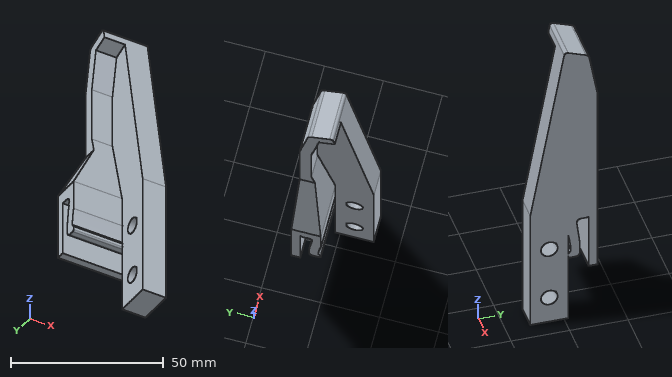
import cadquery as cq
import math

width = 27.5
depth = 23.0
height = 109.6

plate_thickness = 9.0
plate_depth = 13.0
bend_height = 45.0
hole_diameter = 5.7
hole_count = 2
hole_spacing = 20.0
lower_hole_height = 10.0

wall = 4.0
wall_width = 16.9
lean = math.radians(10.3)
top_slope = math.radians(20)
back_bend_height = 90.8
inner_back_top = 89.8
inner_back_bottom = 69.8
front_corner_radius = 1.0
back_corner_radius = 2.0
taper_top = 64.6

tab_thickness = 3.1
tab_bottom = 20.1
slot_top = 40.2
hook_bottom = 24.9
hook_root_back = 15.9
hook_tip_back = 17.0
hook_bulge_height = 30.2
hook_round = 1.5
relief_top = 34.0
relief_bottom = 26.6
relief_low_point = 27.9
relief_depth = 0.9
relief_radius = 32.9
lip_round = 0.5

plate_left = width - plate_thickness
wall_left = width - wall_width
inner_back = depth - wall
cut_margin = 1.1


def extrude_profile(profile, left):
    """Extrude a closed YZ profile from the given X to the right side."""
    return profile.extrude(width - left).translate((left, 0, 0))


def front_slope_at(z):
    return (z - bend_height) * math.tan(lean)


def meet_front_slope(y, z):
    """Point where a line through (y, z), parallel to the top, meets the front slope."""
    fall = math.tan(top_slope)
    corner_z = (z + fall * (y + bend_height * math.tan(lean))) / (1 + fall * math.tan(lean))
    return front_slope_at(corner_z), corner_z


round_center_z = height - front_corner_radius
round_center_y = front_slope_at(round_center_z) + front_corner_radius / math.cos(lean)
front_top = meet_front_slope(round_center_y, round_center_z + front_corner_radius / math.cos(top_slope))

back_run = (front_top[1] - back_bend_height) - (depth - front_top[0]) * math.tan(top_slope)
back_rise = back_run / (1 - math.tan(top_slope) * math.tan(lean))
back_top = (depth - back_rise * math.tan(lean), back_bend_height + back_rise)

under_drop = wall / math.cos(top_slope)
under_front = meet_front_slope(front_top[0], front_top[1] - under_drop)
inner_run = under_front[1] - inner_back_top - (inner_back - under_front[0]) * math.tan(top_slope)
inner_rise = inner_run / (1 - math.tan(top_slope) * math.tan(lean))
under_back = (inner_back - inner_rise * math.tan(lean), inner_back_top + inner_rise)


def make_plate():
    profile = cq.Workplane("YZ").polyline([
        (0, 0),
        (0, bend_height),
        under_front,
        under_back,
        (inner_back, inner_back_top),
        (inner_back, inner_back_bottom),
        (plate_depth, bend_height),
        (plate_depth, 0),
    ]).close()
    return extrude_profile(profile, plate_left)


def make_upper_wall():
    profile = cq.Workplane("YZ").polyline([
        (plate_depth, bend_height),
        (inner_back, inner_back_bottom),
        (inner_back, inner_back_top),
        under_back,
        under_front,
        front_top,
        back_top,
        (depth, back_bend_height),
        (depth, bend_height),
    ]).close()
    wall_body = extrude_profile(profile, 0)
    for corner, radius in ((front_top, front_corner_radius), (back_top, back_corner_radius)):
        corner_edge = cq.selectors.NearestToPointSelector((width / 2, *corner))
        wall_body = wall_body.edges("|X").edges(corner_edge).fillet(radius)
    side_cut = (
        cq.Workplane("XZ")
        .polyline([
            (0, bend_height),
            (wall_left, taper_top),
            (wall_left, height + cut_margin),
            (-cut_margin, height + cut_margin),
            (-cut_margin, bend_height),
        ])
        .close()
        .extrude(-depth)
    )
    return wall_body.cut(side_cut)


def make_clip():
    tab_front = depth - tab_thickness
    profile = (
        cq.Workplane("YZ")
        .moveTo(depth, bend_height)
        .lineTo(depth, tab_bottom)
        .lineTo(tab_front, tab_bottom)
        .lineTo(tab_front, slot_top)
        .lineTo(hook_root_back + hook_round, slot_top)
        .radiusArc((hook_root_back, slot_top - hook_round), -hook_round)
        .lineTo(hook_tip_back, hook_bulge_height)
        .lineTo(hook_tip_back, hook_bottom + hook_round)
        .radiusArc((hook_tip_back - hook_round, hook_bottom), hook_round)
        .lineTo(plate_depth + lip_round, hook_bottom)
        .radiusArc((plate_depth, hook_bottom + lip_round), lip_round)
        .lineTo(plate_depth, relief_bottom)
        .lineTo(plate_depth + relief_depth, relief_low_point)
        .radiusArc((plate_depth, relief_top), -relief_radius)
        .lineTo(plate_depth, bend_height)
        .close()
    )
    return extrude_profile(profile, 0)


def make_holes():
    holes = [(plate_depth / 2, lower_hole_height + i * hole_spacing) for i in range(hole_count)]
    profile = cq.Workplane("YZ").pushPoints(holes).circle(hole_diameter / 2)
    return extrude_profile(profile, plate_left)


result = make_upper_wall().union(make_plate()).union(make_clip()).cut(make_holes()).clean()